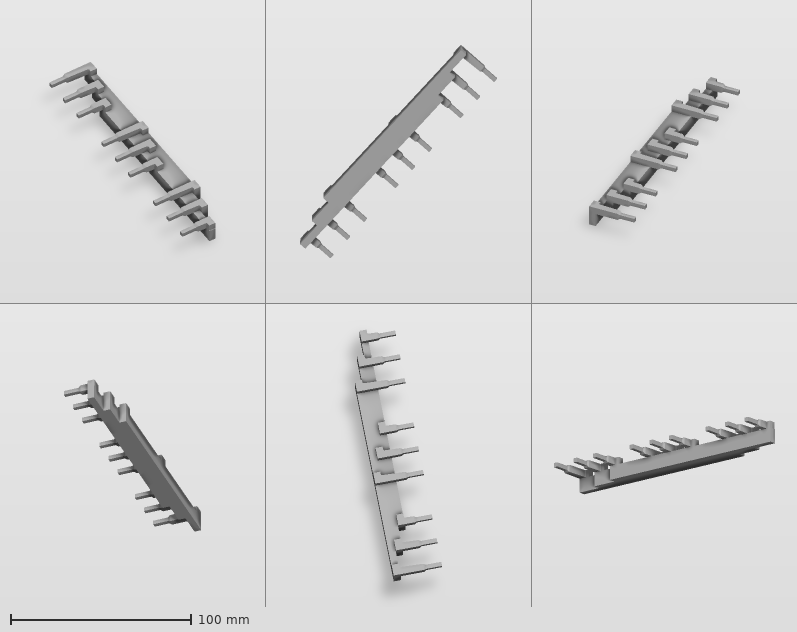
import cadquery as cq

total_length = 142.3
total_depth = 27.5
total_height = 12.2

strip_count = 3
strip_thickness = 4.0
arm_thickness = 4.1
bar_height = total_height - arm_thickness

group_count = 3
group_pitch = 54.0
hook_length = 6.3
last_bar_overhang = 0.3
last_group_x = (group_count - 1) * group_pitch
strip_pitch = (total_length - last_group_x - hook_length - last_bar_overhang) / (strip_count - 1)

leg_root_width = 4.1
leg_tip_width = 3.5
hook_fillet = 0.7
leg_tip_depth = 17.4
pin_root_depth = 18.6
pin_size = 2.4
pin_length = total_depth - pin_root_depth
pin_middle_z = total_height - arm_thickness / 2


def bar(strip):
    """Plain bar running from the first arm of the strip to its last hook."""
    is_front_strip = strip == strip_count - 1
    overhang = last_bar_overhang if is_front_strip else 0
    length = last_group_x + hook_length + overhang
    block = cq.Workplane("XY").box(length, strip_thickness, bar_height, centered=False)
    return block.translate((strip * strip_pitch, -(strip + 1) * strip_thickness, 0))


def leg_width(depth):
    """Leg width at a depth; it tapers evenly from the rearmost hook to the tip."""
    travel = (depth - strip_thickness) / (leg_tip_depth - strip_thickness)
    return leg_root_width + travel * (leg_tip_width - leg_root_width)


def arm(strip):
    """Hook, leg, taper and pin, with the left side of the leg at X = 0."""
    back = strip * strip_thickness
    hook_front = back + strip_thickness
    inner_corner = (leg_width(hook_front), -hook_front)
    body = (
        cq.Workplane("XY", origin=(0, 0, bar_height))
        .polyline(
            [
                (0, -back),
                (hook_length, -back),
                (hook_length, -hook_front),
                inner_corner,
                (leg_tip_width, -leg_tip_depth),
                (0, -leg_tip_depth),
            ]
        )
        .close()
        .extrude(arm_thickness)
    )
    if strip < strip_count - 1:
        corner_edge = cq.selectors.NearestToPointSelector((*inner_corner, pin_middle_z))
        body = body.edges(corner_edge).fillet(hook_fillet)
    tip_plane = cq.Workplane("XZ", origin=(leg_tip_width / 2, -leg_tip_depth, pin_middle_z))
    taper = (
        tip_plane.rect(leg_tip_width, arm_thickness)
        .workplane(offset=pin_root_depth - leg_tip_depth)
        .rect(pin_size, pin_size)
        .loft(ruled=True)
    )
    pin = (
        cq.Workplane("XZ", origin=(leg_tip_width / 2, -pin_root_depth, pin_middle_z))
        .rect(pin_size, pin_size)
        .extrude(pin_length)
    )
    return body.union(taper).union(pin)


result = bar(0)
for strip in range(1, strip_count):
    result = result.union(bar(strip))
for strip in range(strip_count):
    strip_arm = arm(strip)
    for group in range(group_count):
        arm_x = strip * strip_pitch + group * group_pitch
        result = result.union(strip_arm.translate((arm_x, 0, 0)))